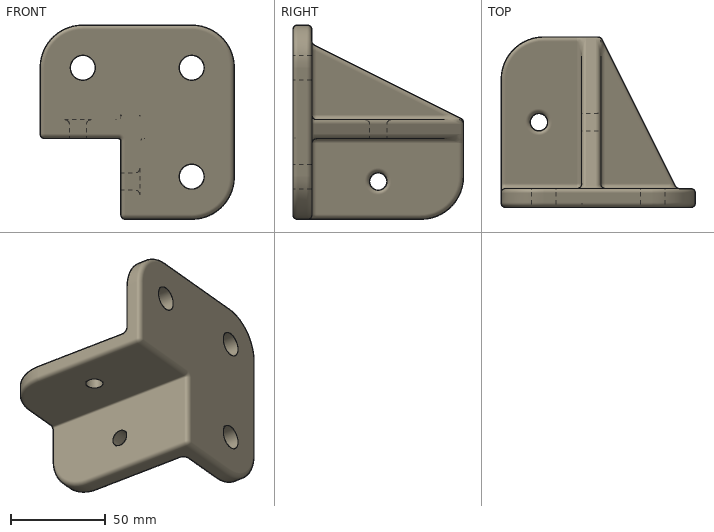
import cadquery as cq

side = 102.5
depth = 90.0
thickness = 10.0
notch = 42.5
corner_radius = 22.5
gusset_leg = 40.0
edge_round = 2.5
notch_round = 1.0

mount_hole = 13.0
shelf_hole = 9.0
shelf_hole_offset = 20.0

shelf_end = notch + thickness
gusset_end = shelf_end + gusset_leg
middle_y = depth / 2
far_centre = side - corner_radius


def front_plate():
    """L-shaped mounting plate standing in the XZ plane, face at Y = 0."""
    plate = (
        cq.Workplane("XY")
        .box(side, thickness, side, centered=False)
        .edges("|Y and (>Z or >X)")
        .fillet(corner_radius)
    )
    cutout = cq.Workplane("XY").box(notch, thickness, notch, centered=False)
    return plate.cut(cutout)


def level_shelf():
    """Horizontal shelf above the notch, running on past the upright shelf as a tapering gusset."""
    shelf = (
        cq.Workplane("XY", origin=(0, 0, notch))
        .box(shelf_end, depth, thickness, centered=False)
        .edges("|Z and >Y and <X")
        .fillet(corner_radius)
    )
    gusset = (
        cq.Workplane("XY", origin=(0, 0, notch))
        .moveTo(shelf_end, 0)
        .lineTo(gusset_end, 0)
        .lineTo(gusset_end, thickness)
        .lineTo(shelf_end, depth)
        .close()
        .extrude(thickness)
    )
    return shelf.union(gusset)


def across_diagonal(part):
    """Mirror across the plane X = Z, about which the bracket is symmetric."""
    return part.mirror("XY").rotate((0, 0, 0), (0, 1, 0), -90)


def with_mirror_image(part):
    """Join a part with its image on the other side of the plane X = Z."""
    return part.union(across_diagonal(part))


def round_edge_at(part, point, radius):
    """Round the single edge closest to the point."""
    return part.edges(cq.selectors.NearestToPointSelector(point)).fillet(radius)


def round_edges(part):
    """Round the three inner corners that run out at open sides, then every other sharp edge."""
    part = round_edge_at(part, (notch, middle_y, notch), notch_round)
    part = round_edge_at(part, (notch / 2, thickness, shelf_end), edge_round)
    part = round_edge_at(part, (shelf_end, thickness, notch / 2), edge_round)

    smooth_edges = part.faces("%CYLINDER").edges("%LINE").vals()
    sharp_edges = part.edges().filter(
        lambda edge: not any(edge.isSame(smooth) for smooth in smooth_edges)
    )
    return part.newObject(sharp_edges.vals()).fillet(edge_round)


def mounting_holes():
    """Three plain holes, centred on the rounded corners of the front plate."""
    centres = [(corner_radius, far_centre), (far_centre, far_centre), (far_centre, corner_radius)]
    return cq.Workplane("XZ").pushPoints(centres).circle(mount_hole / 2).extrude(-thickness)


def level_shelf_hole():
    """Hole through the level shelf, its upper rim flared by a quarter-round."""
    hole_radius = shelf_hole / 2
    rim_radius = hole_radius + edge_round
    return (
        cq.Workplane("XZ", origin=(shelf_hole_offset, middle_y, 0))
        .moveTo(0, notch)
        .lineTo(hole_radius, notch)
        .lineTo(hole_radius, shelf_end - edge_round)
        .radiusArc((rim_radius, shelf_end), edge_round)
        .lineTo(0, shelf_end)
        .close()
        .revolve(360, (0, 0, 0), (0, 1, 0))
    )


shelves = with_mirror_image(level_shelf())
shelf_holes = with_mirror_image(level_shelf_hole())
bracket = round_edges(front_plate().union(shelves))
result = bracket.cut(mounting_holes()).cut(shelf_holes)